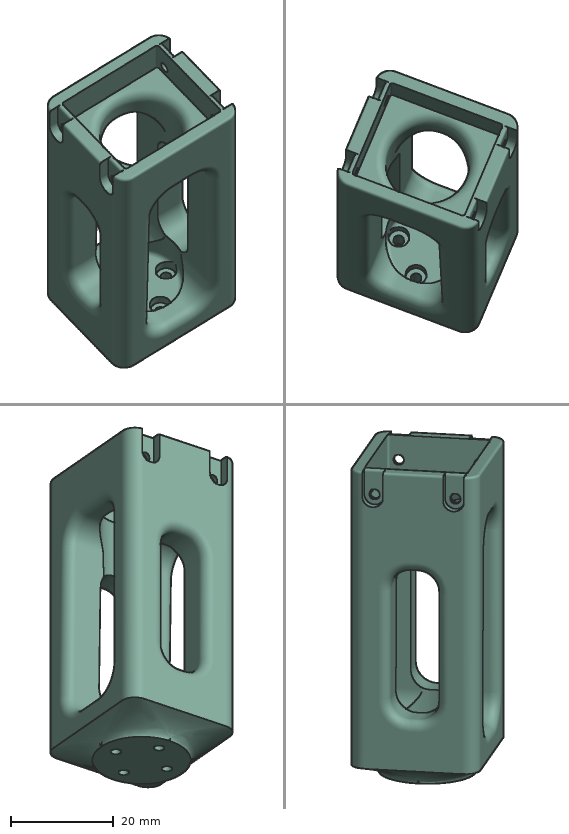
import cadquery as cq
import math

total_height = 64.0
foot_height = 4.0
width_x = 25.5
width_y = 29.5
corner_radius = 3.0
top_edge_radius = 0.5

foot_radius = 9.5
foot_flat = 0.05

wall_thickness_x = 2.55
wall_thickness_y = 3.0
socket_depth = 7.0
socket_corner_radius = 0.5

bore_diameter = 16.2
bore_floor_z = 7.0
bore_mouth_radius = 2.0
bore_floor_radius = 1.0

bolt_hole_diameter = 2.05
bolt_seat_diameter = 4.1
bolt_circle_radius = 6.0
bolt_seat_z = 5.0
bolt_count = 4

window_edge_radius = 2.0
y_window_half_width = 4.8
y_window_bottom = 13.95
y_window_top = 44.15
y_window_corner_radius = 4.0
x_window_bottom = 9.0
x_window_top = 52.15
x_window_straight_y = 7.7
x_window_slant_bottom_y = -7.7
x_window_slant_top_y = -6.8
x_window_corner_radius = 5.0

notch_width = 4.1
notch_offset_x = 8.0
notch_axis_z = 59.0
notch_depth = 2.0
rim_hole_diameter = 2.05

cut_clearance = 0.65

socket_floor_z = total_height - socket_depth
arc_middle = 1 - math.sqrt(0.5)


def make_block():
    """Upright block with rounded vertical corners and a softened top edge."""
    return (
        cq.Workplane("XY")
        .workplane(offset=foot_height)
        .rect(width_x, width_y)
        .extrude(total_height - foot_height)
        .edges("|Z")
        .fillet(corner_radius)
        .faces(">Z")
        .edges()
        .fillet(top_edge_radius)
    )


def flare_section(z):
    """Rounded rectangle of the foot at height z; its growth is parabolic in z."""
    growth = (z / foot_height) ** 2
    base_size = 2 * (foot_radius + foot_flat)
    size_x = base_size + (width_x - base_size) * growth
    size_y = base_size + (width_y - base_size) * growth
    radius = foot_radius + (corner_radius - foot_radius) * growth
    sketch = cq.Sketch().rect(size_x, size_y).vertices().fillet(radius)
    return sketch.moved(cq.Location(cq.Vector(0, 0, z)))


def make_foot():
    """Foot blending from a near circle at the bottom to the outline of the block."""
    sections = [flare_section(foot_height * share) for share in (0, 0.5, 1)]
    return cq.Workplane("XY").placeSketch(*sections).loft()


def make_x_window():
    """Window along X, straight on its +Y side and slanted on its -Y side."""
    length = width_x + 2 * cut_clearance
    return (
        cq.Workplane("YZ")
        .workplane(offset=-length / 2)
        .moveTo(x_window_straight_y, x_window_bottom)
        .lineTo(x_window_straight_y, x_window_top)
        .lineTo(x_window_slant_top_y, x_window_top)
        .lineTo(x_window_slant_bottom_y, x_window_bottom)
        .close()
        .extrude(length)
        .edges("|X")
        .fillet(x_window_corner_radius)
    )


def make_y_window():
    """Window along Y with nearly semicircular ends."""
    return (
        cq.Workplane("XY")
        .box(2 * y_window_half_width, width_y + 2 * cut_clearance, y_window_top - y_window_bottom)
        .edges("|Y")
        .fillet(y_window_corner_radius)
        .translate((0, 0, (y_window_top + y_window_bottom) / 2))
    )


def round_window_edges(body, axis_face, bottom, top):
    """Round the window rim that lies in one outer wall."""
    window_zone = cq.selectors.BoxSelector(
        (-width_x, -width_y, bottom - cut_clearance),
        (width_x, width_y, top + cut_clearance),
        boundingbox=True,
    )
    return body.faces(axis_face).edges(window_zone).fillet(window_edge_radius)


def make_socket():
    """Rectangular socket open at the top."""
    return (
        cq.Workplane("XY")
        .workplane(offset=socket_floor_z)
        .rect(width_x - 2 * wall_thickness_x, width_y - 2 * wall_thickness_y)
        .extrude(socket_depth + cut_clearance)
        .edges("|Z")
        .fillet(socket_corner_radius)
    )


def make_bore():
    """Round bore with a flared mouth and a rounded floor edge."""
    radius = bore_diameter / 2
    mouth_z = socket_floor_z - bore_mouth_radius
    mouth_mid = bore_mouth_radius * arc_middle
    floor_mid = bore_floor_radius * arc_middle
    return (
        cq.Workplane("XZ")
        .moveTo(0, bore_floor_z)
        .lineTo(radius - bore_floor_radius, bore_floor_z)
        .threePointArc(
            (radius - floor_mid, bore_floor_z + floor_mid),
            (radius, bore_floor_z + bore_floor_radius),
        )
        .lineTo(radius, mouth_z)
        .threePointArc(
            (radius + mouth_mid, socket_floor_z - mouth_mid),
            (radius + bore_mouth_radius, socket_floor_z),
        )
        .lineTo(0, socket_floor_z)
        .close()
        .revolve(360, (0, 0, 0), (0, 1, 0))
    )


def make_bolt_holes():
    """Ring of counterbored holes through the foot."""
    seat_height = bore_floor_z + bore_floor_radius - bolt_seat_z
    holes = (
        cq.Workplane("XY")
        .polarArray(bolt_circle_radius, 0, 360, bolt_count)
        .circle(bolt_hole_diameter / 2)
        .extrude(bore_floor_z)
    )
    seats = (
        cq.Workplane("XY")
        .workplane(offset=bolt_seat_z)
        .polarArray(bolt_circle_radius, 0, 360, bolt_count)
        .circle(bolt_seat_diameter / 2)
        .extrude(seat_height)
    )
    return holes.union(seats)


def make_rim_notch(x, side):
    """Round-bottomed notch in the outer rim wall, with its lip softened and a screw hole."""
    radius = notch_width / 2
    lip_z = total_height - notch_axis_z
    height = lip_z + cut_clearance
    notch = (
        cq.Workplane("XZ")
        .circle(radius)
        .extrude(notch_depth + cut_clearance)
        .union(
            cq.Workplane("XZ")
            .center(0, height / 2)
            .rect(notch_width, height)
            .extrude(notch_depth + cut_clearance)
        )
    )
    lip_mid = top_edge_radius * arc_middle
    lip = (
        cq.Workplane("YZ")
        .workplane(offset=-radius)
        .moveTo(0, lip_z - top_edge_radius)
        .threePointArc((lip_mid, lip_z - lip_mid), (top_edge_radius, lip_z))
        .lineTo(0, lip_z)
        .close()
        .extrude(notch_width)
    )
    hole = (
        cq.Workplane("XZ")
        .workplane(offset=-wall_thickness_y)
        .circle(rim_hole_diameter / 2)
        .extrude(2 * wall_thickness_y)
    )
    cutter = notch.union(lip).union(hole)
    if side > 0:
        cutter = cutter.mirror("XZ")
    return cutter.translate((x, side * (width_y / 2 - notch_depth), notch_axis_z))


body = make_block().cut(make_x_window()).cut(make_y_window())
for axis_face in ("<X", ">X"):
    body = round_window_edges(body, axis_face, x_window_bottom, x_window_top)
for axis_face in ("<Y", ">Y"):
    body = round_window_edges(body, axis_face, y_window_bottom, y_window_top)

body = body.union(make_foot())
body = body.cut(make_socket()).cut(make_bore()).cut(make_bolt_holes())

for x in (-notch_offset_x, notch_offset_x):
    for side in (-1, 1):
        body = body.cut(make_rim_notch(x, side))

result = body